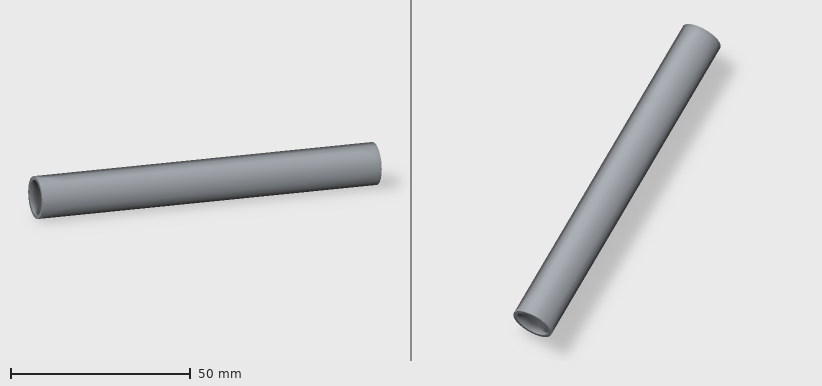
import cadquery as cq

outer_diameter = 12.0
wall_thickness = 1.0
length = 100.0

inner_diameter = outer_diameter - 2 * wall_thickness


def make_tube():
    """Ring profile on the +Y end plane, extruded toward -Y over the full length."""
    end_plane = cq.Workplane("XZ", origin=(0, length / 2, 0))
    profile = end_plane.circle(outer_diameter / 2).circle(inner_diameter / 2)
    return profile.extrude(length)


result = make_tube()